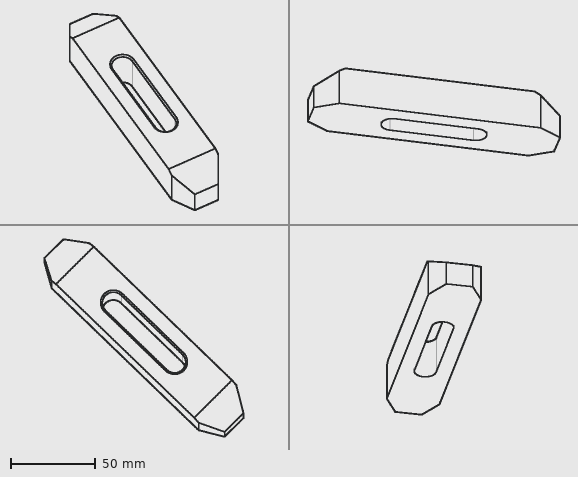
import cadquery as cq
import math

length = 150.0
width = 32.0
height = 25.0

taper_angle = math.radians(30)
nose_width = 16.0
nose_height = 15.0
side_taper_length = (width - nose_width) / 2 / math.tan(taper_angle)
top_taper_length = (height - nose_height) / math.tan(taper_angle)

slot_width = 13.0
slot_length = 64.0
slot_chamfer = 1.0


def plan_prism():
    """Extrude the plan outline, narrowed at both ends."""
    end_x = length / 2
    shoulder_x = end_x - side_taper_length
    side_y = width / 2
    nose_y = nose_width / 2
    outline = [
        (-end_x, -nose_y),
        (-shoulder_x, -side_y),
        (shoulder_x, -side_y),
        (end_x, -nose_y),
        (end_x, nose_y),
        (shoulder_x, side_y),
        (-shoulder_x, side_y),
        (-end_x, nose_y),
    ]
    return cq.Workplane("XY").polyline(outline).close().extrude(height)


def side_prism():
    """Extrude the side profile, lowered at both ends."""
    end_x = length / 2
    shoulder_x = end_x - top_taper_length
    profile = [
        (-end_x, 0),
        (end_x, 0),
        (end_x, nose_height),
        (shoulder_x, height),
        (-shoulder_x, height),
        (-end_x, nose_height),
    ]
    return cq.Workplane("XZ").polyline(profile).close().extrude(width / 2, both=True)


def slot_cutter():
    """Through slot that flares outward at the top face."""
    slot = cq.Workplane("XY").slot2D(slot_length, slot_width).extrude(height)
    rim = (
        cq.Workplane("XY", origin=(0, 0, height))
        .slot2D(slot_length + 2 * slot_chamfer, slot_width + 2 * slot_chamfer)
        .extrude(-slot_chamfer, taper=45)
    )
    return slot.union(rim)


result = plan_prism().intersect(side_prism()).cut(slot_cutter())